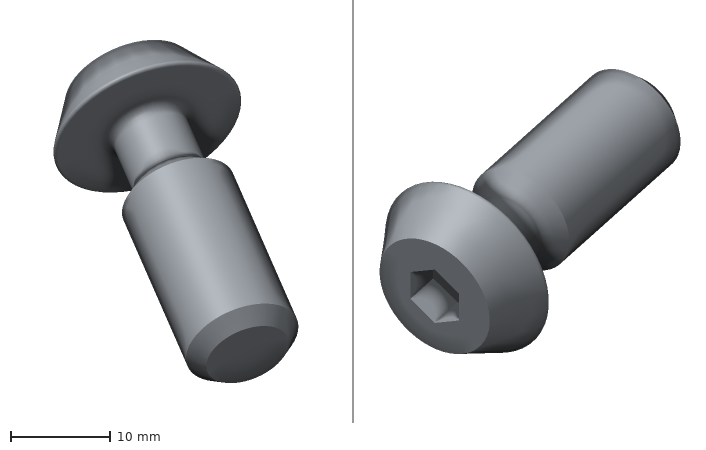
import cadquery as cq
import math

head_height = 6.0
neck_end = 13.0
shank_start = 15.0
overall_length = 36.0

head_radius = 10.0
neck_radius = 3.95
shank_radius = 6.0

head_cone_angle = 30.0
rim_round = 0.35
neck_fillet = 1.0
tip_chamfer = 1.6

socket_across_flats = 6.0
socket_depth = 4.0


def rim_point(angle):
    """Point (x, r) on the rim round, at an angle in degrees from +X toward the radial direction."""
    return (
        head_height - rim_round + rim_round * math.cos(math.radians(angle)),
        head_radius - rim_round + rim_round * math.sin(math.radians(angle)),
    )


def screw_body():
    """Solid of revolution about X: conical head, neck, tapered shoulder and shank."""
    rim_crest = 90.0
    cone_tangent = rim_crest + head_cone_angle
    cone_end_x, cone_end_radius = rim_point(cone_tangent)
    face_radius = cone_end_radius - cone_end_x * math.tan(math.radians(head_cone_angle))

    fillet_inset = neck_fillet * (1 - math.sqrt(0.5))
    fillet_middle = (head_height + fillet_inset, neck_radius + fillet_inset)

    profile = (
        cq.Workplane("XY")
        .moveTo(0, 0)
        .lineTo(0, face_radius)
        .lineTo(cone_end_x, cone_end_radius)
        .threePointArc(rim_point((cone_tangent + rim_crest) / 2), rim_point(rim_crest))
        .threePointArc(rim_point(rim_crest / 2), rim_point(0))
        .lineTo(head_height, neck_radius + neck_fillet)
        .threePointArc(fillet_middle, (head_height + neck_fillet, neck_radius))
        .lineTo(neck_end, neck_radius)
        .lineTo(shank_start, shank_radius)
        .lineTo(overall_length - tip_chamfer, shank_radius)
        .lineTo(overall_length, shank_radius - tip_chamfer)
        .lineTo(overall_length, 0)
        .close()
    )
    return profile.revolve(360, (0, 0, 0), (1, 0, 0))


def hex_socket():
    """Hexagonal prism sunk into the head face."""
    across_corners = socket_across_flats / math.cos(math.radians(30))
    return (
        cq.Workplane("YZ")
        .transformed(rotate=(0, 0, 90))
        .polygon(6, across_corners)
        .extrude(socket_depth)
    )


result = screw_body().cut(hex_socket())